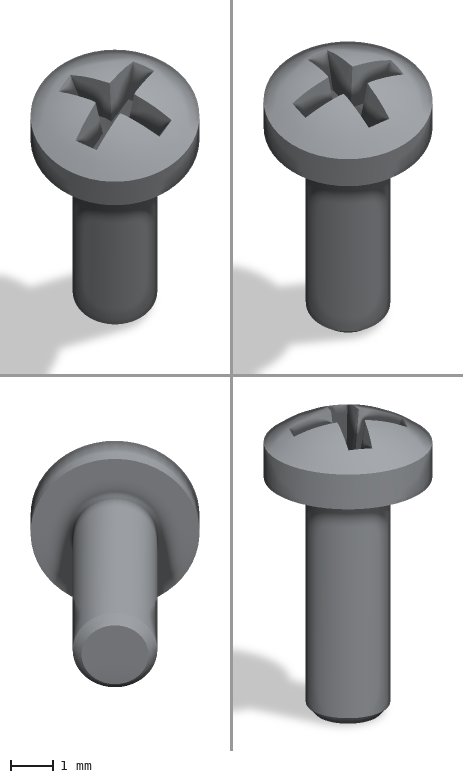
import cadquery as cq
import math

shank_radius = 2.0 / 2
shank_length = 6.0
tip_radius = 0.795
tip_chamfer_height = 0.23
neck_fillet = 0.11

head_radius = 4.0 / 2
rim_height = 0.89
dome_rise = 0.7
rim_top = shank_length + rim_height
apex = rim_top + dome_rise

recess_depth = 1.225
recess_floor = apex - recess_depth
wing_width_floor = 0.35
wing_width_apex = 0.66
wing_span_floor = 1.905
wing_span_apex = 3.07

core_span = 0.89
core_corner_spacing_floor = 0.43
core_corner_spacing_apex = 0.68

pit_radius = 0.4
pit_depth = 0.22


def size_at(z, floor_size, apex_size):
    """Size of a tapered recess feature at height z."""
    return floor_size + (apex_size - floor_size) * (z - recess_floor) / recess_depth


def make_body():
    """Shank and domed head, revolved about Z; the dome is a spherical cap."""
    sphere_radius = (head_radius**2 + dome_rise**2) / (2 * dome_rise)
    mid_radius = head_radius / 2
    mid_height = apex - sphere_radius + math.sqrt(sphere_radius**2 - mid_radius**2)
    return (
        cq.Workplane("XZ")
        .moveTo(0, 0)
        .lineTo(tip_radius, 0)
        .lineTo(shank_radius, tip_chamfer_height)
        .lineTo(shank_radius, shank_length - neck_fillet)
        .radiusArc((shank_radius + neck_fillet, shank_length), neck_fillet)
        .lineTo(head_radius, shank_length)
        .lineTo(head_radius, rim_top)
        .threePointArc((mid_radius, mid_height), (0, apex))
        .close()
        .revolve(360, (0, 0), (0, 1))
    )


def make_wings(turn):
    """Two opposite wings of the recess, as one tapered bar along X turned about Z."""
    return (
        cq.Workplane("XY", origin=(0, 0, recess_floor))
        .rect(wing_span_floor, wing_width_floor)
        .workplane(offset=recess_depth)
        .rect(wing_span_apex, wing_width_apex)
        .loft(ruled=True)
        .rotate((0, 0, 0), (0, 0, 1), turn)
    )


def core_outline(z):
    """Cross-shaped outline of the core at height z, with splayed inner corners."""
    half_width = size_at(z, wing_width_floor, wing_width_apex) / 2
    corner = size_at(z, core_corner_spacing_floor, core_corner_spacing_apex) / 2
    reach = core_span / 2
    points = []
    x_axis, y_axis = (1, 0), (0, 1)
    for _ in range(4):
        for along, across in ((reach, -half_width), (reach, half_width), (corner, corner)):
            points.append((
                along * x_axis[0] + across * y_axis[0],
                along * x_axis[1] + across * y_axis[1],
            ))
        x_axis, y_axis = y_axis, (-x_axis[0], -x_axis[1])
    return points


def make_core():
    """Core of the recess, bounded below by the floor and its conical pit."""
    pit_bottom = recess_floor - pit_depth
    cross = (
        cq.Workplane("XY", origin=(0, 0, pit_bottom))
        .polyline(core_outline(pit_bottom))
        .close()
        .workplane(offset=apex - pit_bottom)
        .polyline(core_outline(apex))
        .close()
        .loft(ruled=True)
    )
    space_above_floor = (
        cq.Workplane("XZ", origin=(0, 0, recess_floor))
        .moveTo(0, -pit_depth)
        .lineTo(pit_radius, 0)
        .lineTo(head_radius, 0)
        .lineTo(head_radius, recess_depth)
        .lineTo(0, recess_depth)
        .close()
        .revolve(360, (0, 0), (0, 1))
    )
    return cross.intersect(space_above_floor)


result = make_body()
for turn in (0, 90):
    result = result.cut(make_wings(turn))
result = result.cut(make_core())